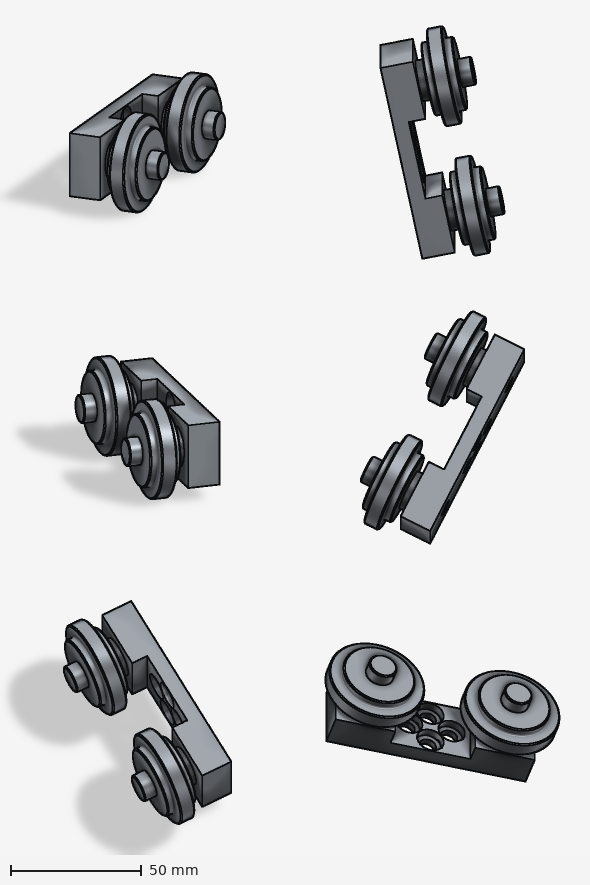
import cadquery as cq

OVERALL_LENGTH = 92.1
OVERALL_WIDTH = 33.8

BAR_LENGTH = 79.6
BAR_HEIGHT = 25.4
PAD_THICKNESS = 12.7
WEB_THICKNESS = 6.2
PAD_GAP = 31.9
BOSS_DIAMETER = 15.9
BOSS_HEIGHT = 3.0
BOLT_HOLE_DIAMETER = 6.5
BOLT_HOLE_DEPTH = 2.8
COUNTERBORE_DIAMETER = 10.6
BOLT_OFFSET_Y = 8.5
BOLT_OFFSET_Z = 6.9

FLANGE_DIAMETER = 38.1
FLANGE_WIDTH = 6.2
HUB_DIAMETER = 28.5
HUB_WIDTH = 12.4
WHEEL_CHAMFER = 0.51
ROOT_FILLET = 0.7
WHEEL_CLEARANCE = 0.4
AXLE_DIAMETER = 6.35
AXLE_TIP_DEPTH = PAD_THICKNESS / 2
AXLE_TIP_CHAMFER = 0.55
STUB_DIAMETER = 11.0
STUB_CHAMFER = 0.5

COUNTERBORE_DEPTH = WEB_THICKNESS - BOLT_HOLE_DEPTH
AXLE_OFFSET_Y = (OVERALL_LENGTH - FLANGE_DIAMETER) / 2
HUB_START = PAD_THICKNESS + BOSS_HEIGHT + WHEEL_CLEARANCE
HUB_END = HUB_START + HUB_WIDTH
FLANGE_START = HUB_START + (HUB_WIDTH - FLANGE_WIDTH) / 2
FLANGE_END = FLANGE_START + FLANGE_WIDTH
AXLE_SIDES = (-AXLE_OFFSET_Y, AXLE_OFFSET_Y)


def disc(diameter, start, length):
    """Cylinder along X that begins at x = start."""
    return cq.Workplane("YZ").workplane(offset=start).circle(diameter / 2).extrude(length)


def make_bracket():
    bar = cq.Workplane("XY").box(PAD_THICKNESS, BAR_LENGTH, BAR_HEIGHT, centered=(False, True, True))
    gap = (
        cq.Workplane("XY")
        .box(PAD_THICKNESS - WEB_THICKNESS, PAD_GAP, BAR_HEIGHT, centered=(False, True, True))
        .translate((WEB_THICKNESS, 0, 0))
    )
    bracket = bar.cut(gap)

    for y in AXLE_SIDES:
        boss = disc(BOSS_DIAMETER, PAD_THICKNESS, BOSS_HEIGHT)
        bore = disc(AXLE_DIAMETER, 0, PAD_THICKNESS + BOSS_HEIGHT)
        bracket = bracket.union(boss.translate((0, y, 0)))
        bracket = bracket.cut(bore.translate((0, y, 0)))

    bolt_places = [(-BOLT_OFFSET_Y, 0), (BOLT_OFFSET_Y, 0), (0, -BOLT_OFFSET_Z), (0, BOLT_OFFSET_Z)]
    for y, z in bolt_places:
        hole = disc(BOLT_HOLE_DIAMETER, 0, BOLT_HOLE_DEPTH)
        counterbore = disc(COUNTERBORE_DIAMETER, BOLT_HOLE_DEPTH, COUNTERBORE_DEPTH)
        bracket = bracket.cut(hole.union(counterbore).translate((0, y, z)))
    return bracket


def make_wheel():
    """Half section of wheel and axle, spun about X; the second coordinate is the radius."""
    axle_radius = AXLE_DIAMETER / 2
    hub_radius = HUB_DIAMETER / 2
    flange_radius = FLANGE_DIAMETER / 2
    stub_radius = STUB_DIAMETER / 2
    section = (
        cq.Workplane("XY")
        .moveTo(AXLE_TIP_DEPTH, 0)
        .lineTo(AXLE_TIP_DEPTH, axle_radius - AXLE_TIP_CHAMFER)
        .lineTo(AXLE_TIP_DEPTH + AXLE_TIP_CHAMFER, axle_radius)
        .lineTo(HUB_START, axle_radius)
        .lineTo(HUB_START, hub_radius - WHEEL_CHAMFER)
        .lineTo(HUB_START + WHEEL_CHAMFER, hub_radius)
        .lineTo(FLANGE_START - ROOT_FILLET, hub_radius)
        .tangentArcPoint((ROOT_FILLET, ROOT_FILLET))
        .lineTo(FLANGE_START, flange_radius - WHEEL_CHAMFER)
        .lineTo(FLANGE_START + WHEEL_CHAMFER, flange_radius)
        .lineTo(FLANGE_END - WHEEL_CHAMFER, flange_radius)
        .lineTo(FLANGE_END, flange_radius - WHEEL_CHAMFER)
        .lineTo(FLANGE_END, hub_radius + ROOT_FILLET)
        .tangentArcPoint((ROOT_FILLET, -ROOT_FILLET))
        .lineTo(HUB_END - WHEEL_CHAMFER, hub_radius)
        .lineTo(HUB_END, hub_radius - WHEEL_CHAMFER)
        .lineTo(HUB_END, stub_radius)
        .lineTo(OVERALL_WIDTH - STUB_CHAMFER, stub_radius)
        .lineTo(OVERALL_WIDTH, stub_radius - STUB_CHAMFER)
        .lineTo(OVERALL_WIDTH, 0)
        .close()
    )
    return section.revolve(360, (0, 0, 0), (1, 0, 0))


bracket = make_bracket()
wheels = [make_wheel().translate((0, y, 0)) for y in AXLE_SIDES]

result = cq.Compound.makeCompound([bracket.val(), *[wheel.val() for wheel in wheels]])